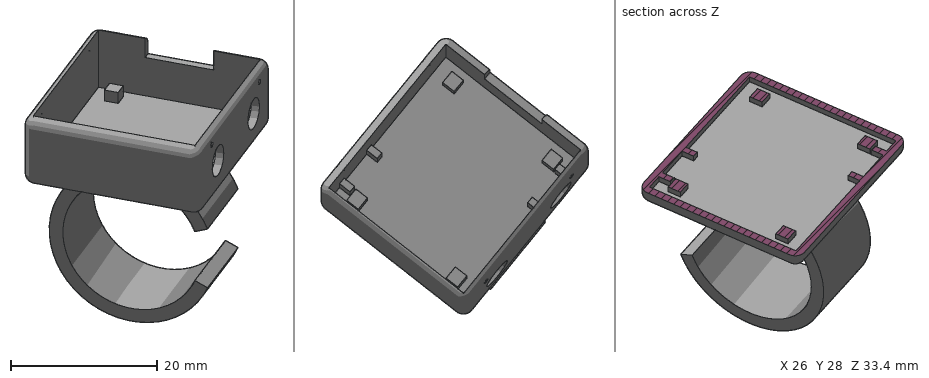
import cadquery as cq
import math

case_x = 26.0
case_y = 28.0
case_z = 10.5
edge_radius = 1.5
wall = 1.2
floor = 1.5
inner_x = case_x - 2 * wall
inner_y = case_y - 2 * wall

ring_outer_radius = 12.0
ring_inner_radius = 10.0
ring_width = 12.0
ring_overlap = 1.05
ring_center_z = ring_overlap - ring_outer_radius
gap_half_angle = 22.5

notch_width = 10.0
notch_depth = 3

post_side = 2
post_height = 1.7
post_x = 8.7
post_y = 10.5

rib_length = 1.85
rib_thickness = 1
rib_height = 2.65
rib_y_places = (4, 9.97)

port_diameter = 4.5
port_y = 7.0
port_z = case_z / 2

dimple_radius = 0.4
dimple_depth = wall + 0.05
dimple_corners = 5
dimple_y = 9.37
dimple_z = case_z - edge_radius


def block(size_x, size_y, size_z, center_x, center_y, bottom_z):
    """Upright block resting at bottom_z."""
    return (
        cq.Workplane("XY", origin=(center_x, center_y, bottom_z))
        .box(size_x, size_y, size_z, centered=(True, True, False))
    )


def port_cutter(y):
    """Round rod crossing the +X wall."""
    start_x = (inner_x - wall) / 2
    return (
        cq.Workplane("YZ", origin=(start_x, y, port_z))
        .circle(port_diameter / 2)
        .extrude(2 * wall)
    )


def dimple_cutter(side, y):
    """Pyramid pointing into a side wall: one corner up on the +X wall, down on the -X wall."""
    apex = cq.Vector(side * (case_x / 2 - dimple_depth), y, dimple_z)
    corners = []
    for number in range(dimple_corners):
        angle = side * math.pi / 2 + number * 2 * math.pi / dimple_corners
        corner_y = y + dimple_radius * math.cos(angle)
        corner_z = dimple_z + dimple_radius * math.sin(angle)
        corners.append(cq.Vector(side * case_x / 2, corner_y, corner_z))
    faces = [cq.Face.makeFromWires(cq.Wire.makePolygon(corners, close=True))]
    for number in range(dimple_corners):
        triangle = [corners[number - 1], corners[number], apex]
        faces.append(cq.Face.makeFromWires(cq.Wire.makePolygon(triangle, close=True)))
    return cq.Workplane(cq.Solid.makeSolid(cq.Shell.makeShell(faces)))


def make_case():
    shell = block(case_x, case_y, case_z, 0, 0, 0).edges().fillet(edge_radius)
    return shell.cut(block(inner_x, inner_y, case_z, 0, 0, floor))


def make_ring():
    def ring_point(radius, angle):
        return (radius * math.cos(angle), radius * math.sin(angle))

    gap = math.radians(gap_half_angle)
    return (
        cq.Workplane("XZ", origin=(0, ring_width / 2, ring_center_z))
        .moveTo(*ring_point(ring_outer_radius, gap))
        .threePointArc((-ring_outer_radius, 0), ring_point(ring_outer_radius, -gap))
        .lineTo(*ring_point(ring_inner_radius, -gap))
        .threePointArc((-ring_inner_radius, 0), ring_point(ring_inner_radius, gap))
        .close()
        .extrude(ring_width)
    )


result = make_case().union(make_ring())

for side in (-1, 1):
    for end in (-1, 1):
        post = block(post_side, post_side, post_height, side * post_x, end * post_y, floor)
        result = result.union(post)
    rib_x = side * (inner_x - rib_length) / 2
    for rib_y in rib_y_places:
        result = result.union(block(rib_length, rib_thickness, rib_height, rib_x, side * rib_y, floor))

result = result.cut(
    block(notch_width, 2 * wall, notch_depth, 0, case_y / 2, case_z - notch_depth)
)

for end in (-1, 1):
    result = result.cut(port_cutter(end * port_y))
    for side in (-1, 1):
        result = result.cut(dimple_cutter(side, end * dimple_y))